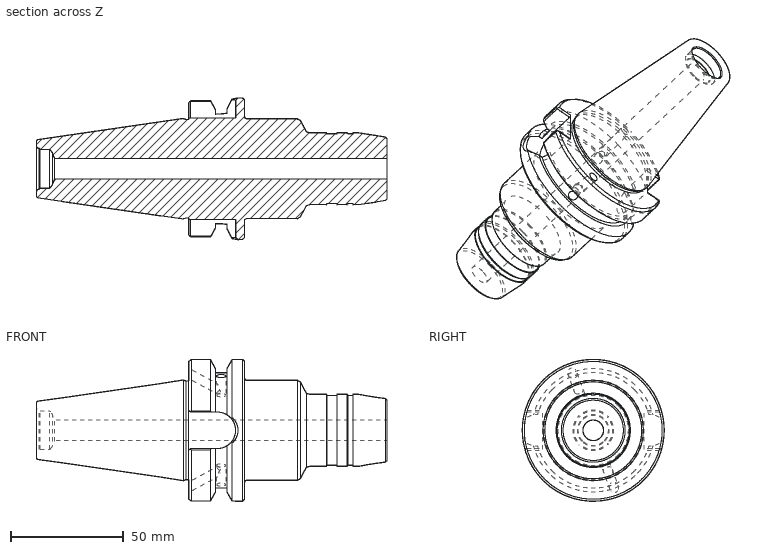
import cadquery as cq
import math

LENGTH = 155.4
TAPER_END = 65.1
RELIEF_START = 66.2
FLANGE_START = 67.5
FLANGE_END = 92.3
BODY_END = 115.6
CONE_START = 117.0
CONE_END = 119.7
NOSE_START = 121.7
NOSE_TAPER_START = 142.8

TAPER_RADIUS = 22.4
TAPER_RATE = 7 / 48
TAPER_TIP_RADIUS = TAPER_RADIUS - TAPER_RATE * TAPER_END
RELIEF_RADIUS = 21.9
FLANGE_DIAMETER = 63.0
FLANGE_RADIUS = FLANGE_DIAMETER / 2
BODY_RADIUS = 22.2
CONE_LARGE_RADIUS = 21.5
CONE_SMALL_RADIUS = 16.5
NOSE_RADIUS = 16.0
NOSE_TIP_RADIUS = 14.1

TAPER_TIP_FILLET = 1.0
FLANGE_CHAMFER = 1.0
FACE_CHAMFER_LENGTH = 1.2
BODY_FILLET = 1.0
NOSE_FILLET = 4.7
NOSE_CHAMFER = 0.8

GROOVE_CENTER = 81.9
GROOVE_RADIUS = 25.6
GROOVE_LIP_RADIUS = 27.4
GROOVE_FLOOR_HALF_WIDTH = 2.5
GROOVE_TOP_HALF_WIDTH = 4.8

NOSE_GROOVES = [(128.5, 128.8, 133.2), (137.5, 138.2, 140.2)]
NOSE_GROOVE_DEPTH = 0.5

PILOT_RADIUS = 8.5
PILOT_DEPTH = 5.9
PILOT_FILLET = 1.2
PILOT_MOUTH_CHAMFER = 0.5
PILOT_FLOOR_CHAMFER = 0.3
SEAT_DEPTH = 7.1
SEAT_OUTER_RADIUS = 7.0
SEAT_INNER_RADIUS = 6.7
BORE_START = 8.1
BORE_RADIUS = 4.5

SLOT_HALF_WIDTH = 8.1
SLOT_FLOOR = 22.5
SLOT_END = 88.3
SLOT_FACE_CHAMFER = 0.8
SLOT_SIDE_CHAMFER = 0.55
SLOT_ROUND_CHAMFER = 1.1

COOLANT_RADIUS = 2.0
COOLANT_ANGLE = 20.0
COOLANT_TILT = 30.0
COOLANT_FACE_RADIUS = 26.9

OVERCUT = 1.5


def revolve_about_x(outline):
    return outline.revolve(360, (0, 0, 0), (1, 0, 0))


def turned_blank():
    """Solid of revolution about X: taper, grooved flange, body and nose."""
    groove_top_left = GROOVE_CENTER - GROOVE_TOP_HALF_WIDTH
    groove_top_right = GROOVE_CENTER + GROOVE_TOP_HALF_WIDTH
    groove_left = GROOVE_CENTER - GROOVE_FLOOR_HALF_WIDTH
    groove_right = GROOVE_CENTER + GROOVE_FLOOR_HALF_WIDTH
    chamfered_radius = FLANGE_RADIUS - FLANGE_CHAMFER
    tip_fillet_radius = TAPER_TIP_RADIUS + TAPER_RATE * TAPER_TIP_FILLET
    outline = (
        cq.Workplane("XY")
        .moveTo(0, 0)
        .lineTo(0, tip_fillet_radius - TAPER_TIP_FILLET)
        .radiusArc((TAPER_TIP_FILLET, tip_fillet_radius), TAPER_TIP_FILLET)
        .lineTo(TAPER_END, TAPER_RADIUS)
        .lineTo(RELIEF_START, RELIEF_RADIUS)
        .lineTo(FLANGE_START, RELIEF_RADIUS)
        .lineTo(FLANGE_START, chamfered_radius)
        .lineTo(FLANGE_START + FACE_CHAMFER_LENGTH, FLANGE_RADIUS)
        .lineTo(groove_top_left, FLANGE_RADIUS)
        .lineTo(groove_left, GROOVE_LIP_RADIUS)
        .lineTo(groove_left, GROOVE_RADIUS)
        .lineTo(groove_right, GROOVE_RADIUS)
        .lineTo(groove_right, GROOVE_LIP_RADIUS)
        .lineTo(groove_top_right, FLANGE_RADIUS)
        .lineTo(FLANGE_END - FLANGE_CHAMFER, FLANGE_RADIUS)
        .lineTo(FLANGE_END, chamfered_radius)
        .lineTo(FLANGE_END, BODY_RADIUS + BODY_FILLET)
        .radiusArc((FLANGE_END + BODY_FILLET, BODY_RADIUS), -BODY_FILLET)
        .lineTo(BODY_END, BODY_RADIUS)
        .lineTo(CONE_START, CONE_LARGE_RADIUS)
        .lineTo(CONE_END, CONE_SMALL_RADIUS)
        .radiusArc((NOSE_START, NOSE_RADIUS), -NOSE_FILLET)
        .lineTo(NOSE_TAPER_START, NOSE_RADIUS)
        .lineTo(LENGTH - NOSE_CHAMFER, NOSE_TIP_RADIUS)
        .lineTo(LENGTH, NOSE_TIP_RADIUS - NOSE_CHAMFER)
        .lineTo(LENGTH, 0)
        .close()
    )
    return revolve_about_x(outline)


def nose_groove(start, slope_end, end):
    """Ring cutter whose first wall slopes down to the groove floor."""
    floor_radius = NOSE_RADIUS - NOSE_GROOVE_DEPTH
    outline = (
        cq.Workplane("XY")
        .moveTo(start, NOSE_RADIUS)
        .lineTo(slope_end, floor_radius)
        .lineTo(end, floor_radius)
        .lineTo(end, NOSE_RADIUS + OVERCUT)
        .lineTo(start, NOSE_RADIUS + OVERCUT)
        .close()
    )
    return revolve_about_x(outline)


def bore():
    """Rounded and chamfered pilot, narrow conical seats and a passage to the far end."""
    mouth_radius = PILOT_RADIUS + PILOT_MOUTH_CHAMFER
    outline = (
        cq.Workplane("XY")
        .moveTo(0, 0)
        .lineTo(0, mouth_radius + PILOT_FILLET)
        .radiusArc((PILOT_FILLET, mouth_radius), -PILOT_FILLET)
        .lineTo(PILOT_FILLET + PILOT_MOUTH_CHAMFER, PILOT_RADIUS)
        .lineTo(PILOT_DEPTH, PILOT_RADIUS)
        .lineTo(PILOT_DEPTH + PILOT_FLOOR_CHAMFER, PILOT_RADIUS - PILOT_FLOOR_CHAMFER)
        .lineTo(SEAT_DEPTH, SEAT_OUTER_RADIUS)
        .lineTo(SEAT_DEPTH, SEAT_INNER_RADIUS)
        .lineTo(BORE_START, BORE_RADIUS)
        .lineTo(LENGTH, BORE_RADIUS)
        .lineTo(LENGTH, 0)
        .close()
    )
    return revolve_about_x(outline)


def slot_body():
    """Round-ended slot on the +Y side, open at the flange face."""
    center = SLOT_END - SLOT_HALF_WIDTH
    return (
        cq.Workplane("XZ", origin=(0, SLOT_FLOOR, 0))
        .moveTo(FLANGE_START, -SLOT_HALF_WIDTH)
        .lineTo(center, -SLOT_HALF_WIDTH)
        .threePointArc((SLOT_END, 0), (center, SLOT_HALF_WIDTH))
        .lineTo(FLANGE_START, SLOT_HALF_WIDTH)
        .close()
        .extrude(SLOT_FLOOR - FLANGE_RADIUS - OVERCUT)
    )


def slot_face_chamfer():
    """Bevel of both slot walls where they meet the flange face."""
    wide = SLOT_HALF_WIDTH + SLOT_FACE_CHAMFER
    return (
        cq.Workplane("XZ", origin=(0, SLOT_FLOOR, 0))
        .moveTo(FLANGE_START, -wide)
        .lineTo(FLANGE_START + SLOT_FACE_CHAMFER, -SLOT_HALF_WIDTH)
        .lineTo(FLANGE_START + SLOT_FACE_CHAMFER, SLOT_HALF_WIDTH)
        .lineTo(FLANGE_START, wide)
        .close()
        .extrude(SLOT_FLOOR - FLANGE_RADIUS - OVERCUT)
    )


def slot_side_chamfer():
    """Bevel of both slot walls where they meet the outside of the front flange."""
    wide = SLOT_HALF_WIDTH + SLOT_SIDE_CHAMFER
    top = math.sqrt(FLANGE_RADIUS**2 - wide**2)
    bottom = top - SLOT_SIDE_CHAMFER
    return (
        cq.Workplane("YZ", origin=(FLANGE_START, 0, 0))
        .moveTo(bottom, -SLOT_HALF_WIDTH)
        .lineTo(top, -wide)
        .lineTo(FLANGE_RADIUS, -wide)
        .lineTo(FLANGE_RADIUS, wide)
        .lineTo(top, wide)
        .lineTo(bottom, SLOT_HALF_WIDTH)
        .close()
        .extrude(GROOVE_CENTER - FLANGE_START)
    )


def slot_round_chamfer():
    """Conical bevel round the closed end of the slot."""
    base = cq.Vector(SLOT_END - SLOT_HALF_WIDTH, FLANGE_RADIUS - SLOT_ROUND_CHAMFER, 0)
    outward = cq.Vector(0, 1, 0)
    wide = SLOT_HALF_WIDTH + SLOT_ROUND_CHAMFER
    return cq.Workplane(cq.Solid.makeCone(SLOT_HALF_WIDTH, wide, SLOT_ROUND_CHAMFER, base, outward))


def coolant_channel():
    """Tilted hole from the flange face, met by a radial hole from the groove floor."""
    tilt = math.radians(COOLANT_TILT)
    run = GROOVE_CENTER - FLANGE_START
    meeting_radius = COOLANT_FACE_RADIUS - run * math.tan(tilt)
    direction = cq.Vector(math.cos(tilt), 0, -math.sin(tilt))
    start = cq.Vector(FLANGE_START, 0, COOLANT_FACE_RADIUS) - direction * OVERCUT
    tilted = cq.Workplane(
        cq.Solid.makeCylinder(COOLANT_RADIUS, OVERCUT + run / math.cos(tilt), start, direction)
    )
    radial_bottom = meeting_radius - COOLANT_RADIUS
    radial = (
        cq.Workplane("XY", origin=(GROOVE_CENTER, 0, radial_bottom))
        .circle(COOLANT_RADIUS)
        .extrude(GROOVE_RADIUS + OVERCUT - radial_bottom)
    )
    return tilted.union(radial).rotate((0, 0, 0), (1, 0, 0), COOLANT_ANGLE)


result = turned_blank().cut(bore())
for groove in NOSE_GROOVES:
    result = result.cut(nose_groove(*groove))

side_cutters = [
    slot_body(),
    slot_face_chamfer(),
    slot_side_chamfer(),
    slot_round_chamfer(),
    coolant_channel(),
]
for turn in (0, 180):
    for cutter in side_cutters:
        result = result.cut(cutter.rotate((0, 0, 0), (1, 0, 0), turn))